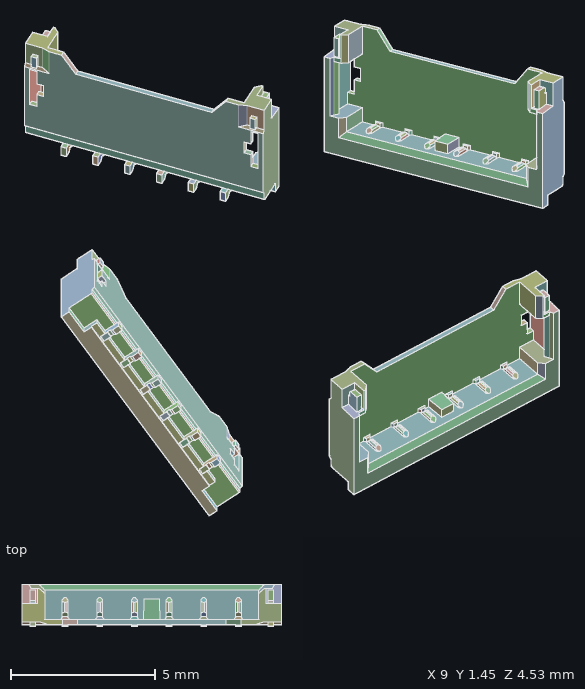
import cadquery as cq

LENGTH = 9.0
HALF = LENGTH / 2
DEPTH = 1.395
TOP = 4.53
HOUSING_BOTTOM = 0.03
STEP_UNDERSIDE = 0.405
LEG_FRONT = 1.06
BASE_HALF = 3.59
BASE_FRONT = 0.52
BASE_HEEL = 0.76
BASE_SHELF_Z = 0.1

FRONT_STEP = 0.09
STEP_TOP = 0.84
STEP_BEVEL = 0.09
FOOT_BEVEL = 0.045

PLATE = 0.19
CAVITY_HALF = 3.7
CAVITY_FLOOR = 0.9
LEAD_IN = 0.2

OPENING_TOP_HALF = 3.1
OPENING_BOTTOM_HALF = 2.565
OPENING_DEPTH = 0.68

RELIEF_DEPTH = 0.09
RELIEF_EDGE = 3.85
RELIEF_BEVEL_EDGE = 3.56
RELIEF_Z = 3.64
RELIEF_BEVEL_Z = 3.53
SHOULDER_FRONT = 0.73
SHOULDER_EDGE = 3.95
SHOULDER_FRONT_Z = 3.66
SHOULDER_BACK_Z = 3.62
POST_BACK = 1.26
POST_CORNER_X = 3.9
POST_CORNER_Y = 1.08

POCKET_BOTTOM = 1.44
SLOT_BOTTOM = 1.87
SLOT_TOP = 3.465
SLOT_OUTER = 4.3
SLOT_INNER = 4.03
NOTCH_INNER = 3.78
NOTCH_BOTTOM = 2.41
NOTCH_TOP = 2.9
LIP_EDGE = 4.08
LIP_START_Y = 0.99
LIP_Y = 1.08
MOUTH_INNER = 4.18
MOUTH_OUTER = 4.25

TAB_WIDTH = 0.2
TAB_X = 4.12
TAB_FRONT = -0.05
FRONT_TAB_BOTTOM = 3.65
FRONT_TAB_TOP = 4.12
BACK_TAB_TOP = 4.34
BACK_TAB_BACK = 1.2
BACK_TAB_STEP_Z = 4.095
BACK_TAB_STEP_Y = 0.79
BACK_TAB_BEVEL = 0.05

PIN_COUNT = 6
PIN_PITCH = LENGTH / 7.5
PIN_WIDTH = 0.21
TAIL_TOP = 0.39
TAIL_BACK = 0.7
TAIL_SEAT_Z = 0.08
TAIL_HOOK_Z = 0.135
TAIL_NOTCH_BACK = 0.41
TAIL_NOTCH_FRONT = 0.3
TAIL_SOLE_BACK = 0.2
CONTACT_FOOT_Y = 0.28
CONTACT_TIP_Y = 0.94
CONTACT_HEIGHT = 0.16
CONTACT_SHOULDER = 0.12
CONTACT_CREST = 0.05
CONTACT_FOOT_WIDTH = 0.3
CONTACT_FOOT_NECK = 0.16
CONTACT_RAMP = 0.16
CONTACT_TIP_CLIP = 0.07

KEY_BACK = 0.89
KEY_HALF_FRONT = 0.29
KEY_HALF_BACK = 0.26
KEY_HEIGHT = 0.36

EMBED = 0.09


def box(x0, x1, y0, y1, z0, z1):
    return cq.Workplane("XY").box(x1 - x0, y1 - y0, z1 - z0, centered=False).translate((x0, y0, z0))


def side_prism(points, x_centre, width):
    """Extrude a (y, z) outline along X, centred on x_centre."""
    prism = cq.Workplane("YZ").polyline(points).close().extrude(width / 2, both=True)
    return prism.translate((x_centre, 0, 0))


def plan_prism(points, z0, z1):
    """Extrude an (x, y) outline from z0 up to z1."""
    return cq.Workplane("XY").workplane(offset=z0).polyline(points).close().extrude(z1 - z0)


def housing_blank():
    ends = side_prism([
        (0, TOP),
        (0, STEP_TOP),
        (FRONT_STEP, STEP_TOP - STEP_BEVEL),
        (FRONT_STEP, STEP_UNDERSIDE + FOOT_BEVEL),
        (FRONT_STEP + FOOT_BEVEL, STEP_UNDERSIDE),
        (LEG_FRONT, STEP_UNDERSIDE),
        (LEG_FRONT, HOUSING_BOTTOM),
        (DEPTH, HOUSING_BOTTOM),
        (DEPTH, TOP),
    ], 0, LENGTH)
    shelf = box(-BASE_HALF, BASE_HALF, BASE_FRONT, LEG_FRONT, BASE_SHELF_Z, STEP_UNDERSIDE)
    heel = box(-BASE_HALF, BASE_HALF, BASE_HEEL, LEG_FRONT, HOUSING_BOTTOM, STEP_UNDERSIDE)
    return ends.union(shelf).union(heel)


def cavity():
    room = box(-CAVITY_HALF, CAVITY_HALF, PLATE, DEPTH, CAVITY_FLOOR, TOP)
    lead_in_start = DEPTH - LEAD_IN
    flare = plan_prism([
        (-CAVITY_HALF, lead_in_start),
        (CAVITY_HALF, lead_in_start),
        (CAVITY_HALF + LEAD_IN, DEPTH),
        (-CAVITY_HALF - LEAD_IN, DEPTH),
    ], CAVITY_FLOOR - LEAD_IN, TOP)
    floor_limit = side_prism([
        (lead_in_start, CAVITY_FLOOR),
        (DEPTH, CAVITY_FLOOR - LEAD_IN),
        (DEPTH, TOP),
        (lead_in_start, TOP),
    ], 0, LENGTH)
    return room.union(flare.intersect(floor_limit))


def plate_opening():
    outline = [
        (-OPENING_TOP_HALF, TOP),
        (-OPENING_BOTTOM_HALF, TOP - OPENING_DEPTH),
        (OPENING_BOTTOM_HALF, TOP - OPENING_DEPTH),
        (OPENING_TOP_HALF, TOP),
    ]
    return cq.Workplane("XZ").polyline(outline).close().extrude(-PLATE)


def post_front_relief():
    in_plan = plan_prism([
        (-HALF, 0),
        (-RELIEF_BEVEL_EDGE, 0),
        (-RELIEF_EDGE, RELIEF_DEPTH),
        (-HALF, RELIEF_DEPTH),
    ], RELIEF_BEVEL_Z, TOP)
    in_side = side_prism([
        (0, RELIEF_BEVEL_Z),
        (RELIEF_DEPTH, RELIEF_Z),
        (RELIEF_DEPTH, TOP),
        (0, TOP),
    ], 0, LENGTH)
    return in_plan.intersect(in_side)


def post_shoulder():
    width = HALF - SHOULDER_EDGE
    return side_prism([
        (SHOULDER_FRONT, SHOULDER_FRONT_Z),
        (DEPTH, SHOULDER_BACK_Z),
        (DEPTH, TOP),
        (SHOULDER_FRONT, TOP),
    ], -SHOULDER_EDGE - width / 2, width)


def latch_pocket():
    chamber = plan_prism([
        (-CAVITY_HALF, PLATE),
        (-SLOT_OUTER, PLATE),
        (-SLOT_OUTER, LIP_START_Y),
        (-LIP_EDGE, LIP_Y),
        (-MOUTH_INNER, POST_BACK),
        (-CAVITY_HALF, POST_BACK),
    ], POCKET_BOTTOM, SLOT_TOP)
    mouth = plan_prism([
        (-MOUTH_OUTER, DEPTH),
        (-MOUTH_INNER, POST_BACK),
        (-POST_CORNER_X, POST_BACK),
        (-CAVITY_HALF, POST_CORNER_Y),
        (-CAVITY_HALF, DEPTH),
    ], POCKET_BOTTOM, TOP)
    slot = box(-SLOT_OUTER, -SLOT_INNER, 0, PLATE, SLOT_BOTTOM, SLOT_TOP)
    notch = box(-SLOT_INNER, -NOTCH_INNER, 0, PLATE, NOTCH_BOTTOM, NOTCH_TOP)
    return chamber.union(mouth).union(slot).union(notch)


def fitting():
    front_tab = box(-TAB_X - TAB_WIDTH / 2, -TAB_X + TAB_WIDTH / 2,
                    TAB_FRONT, RELIEF_DEPTH + EMBED, FRONT_TAB_BOTTOM, FRONT_TAB_TOP)
    root_z = SHOULDER_BACK_Z - EMBED
    back_tab = side_prism([
        (SHOULDER_FRONT - EMBED, root_z),
        (SHOULDER_FRONT - EMBED, BACK_TAB_STEP_Z),
        (BACK_TAB_STEP_Y, BACK_TAB_STEP_Z),
        (BACK_TAB_STEP_Y, BACK_TAB_TOP - BACK_TAB_BEVEL),
        (BACK_TAB_STEP_Y + BACK_TAB_BEVEL, BACK_TAB_TOP),
        (BACK_TAB_BACK, BACK_TAB_TOP),
        (BACK_TAB_BACK, root_z),
    ], -TAB_X, TAB_WIDTH)
    return front_tab.union(back_tab)


def solder_tail(x):
    return side_prism([
        (TAB_FRONT, 0),
        (TAB_FRONT, TAIL_TOP),
        (TAIL_BACK, TAIL_TOP),
        (TAIL_BACK, TAIL_SEAT_Z),
        (TAIL_NOTCH_BACK, TAIL_SEAT_Z),
        (TAIL_NOTCH_BACK, TAIL_HOOK_Z),
        (TAIL_NOTCH_FRONT, TAIL_HOOK_Z),
        (TAIL_SOLE_BACK, 0),
    ], x, PIN_WIDTH)


def contact(x):
    """Ridged contact on the cavity floor, with a flared foot against the front plate."""
    root_z = CAVITY_FLOOR - EMBED
    crest_z = CAVITY_FLOOR + CONTACT_HEIGHT
    half = PIN_WIDTH / 2
    ridge = cq.Workplane("XZ").polyline([
        (x - half, root_z),
        (x - half, CAVITY_FLOOR + CONTACT_SHOULDER),
        (x - CONTACT_CREST / 2, crest_z),
        (x + CONTACT_CREST / 2, crest_z),
        (x + half, CAVITY_FLOOR + CONTACT_SHOULDER),
        (x + half, root_z),
    ]).close().extrude(-DEPTH)
    ramps = side_prism([
        (CONTACT_FOOT_Y, root_z),
        (CONTACT_FOOT_Y, CAVITY_FLOOR),
        (CONTACT_FOOT_Y + CONTACT_RAMP, crest_z),
        (CONTACT_TIP_Y - CONTACT_RAMP, crest_z),
        (CONTACT_TIP_Y, CAVITY_FLOOR),
        (CONTACT_TIP_Y, root_z),
    ], x, PIN_WIDTH)
    tip_limit = plan_prism([
        (x - half, PLATE),
        (x + half, PLATE),
        (x + half, CONTACT_TIP_Y - CONTACT_TIP_CLIP),
        (x + half - CONTACT_TIP_CLIP, CONTACT_TIP_Y),
        (x - half + CONTACT_TIP_CLIP, CONTACT_TIP_Y),
        (x - half, CONTACT_TIP_Y - CONTACT_TIP_CLIP),
    ], root_z, crest_z)
    foot = plan_prism([
        (x - CONTACT_FOOT_WIDTH / 2, PLATE),
        (x + CONTACT_FOOT_WIDTH / 2, PLATE),
        (x + CONTACT_FOOT_NECK / 2, CONTACT_FOOT_Y),
        (x - CONTACT_FOOT_NECK / 2, CONTACT_FOOT_Y),
    ], root_z, crest_z)
    return ridge.intersect(ramps).intersect(tip_limit).union(foot)


def polarising_key():
    return plan_prism([
        (-KEY_HALF_FRONT, PLATE),
        (KEY_HALF_FRONT, PLATE),
        (KEY_HALF_BACK, KEY_BACK),
        (-KEY_HALF_BACK, KEY_BACK),
    ], CAVITY_FLOOR - EMBED, CAVITY_FLOOR + KEY_HEIGHT)


def both_ends(left):
    return left.union(left.mirror("YZ"))


result = housing_blank().cut(cavity()).cut(plate_opening())
for end_cut in (post_front_relief(), post_shoulder(), latch_pocket()):
    result = result.cut(both_ends(end_cut))
result = result.union(both_ends(fitting())).union(polarising_key())
for index in range(PIN_COUNT):
    pin_x = (index - (PIN_COUNT - 1) / 2) * PIN_PITCH
    result = result.union(solder_tail(pin_x)).union(contact(pin_x))